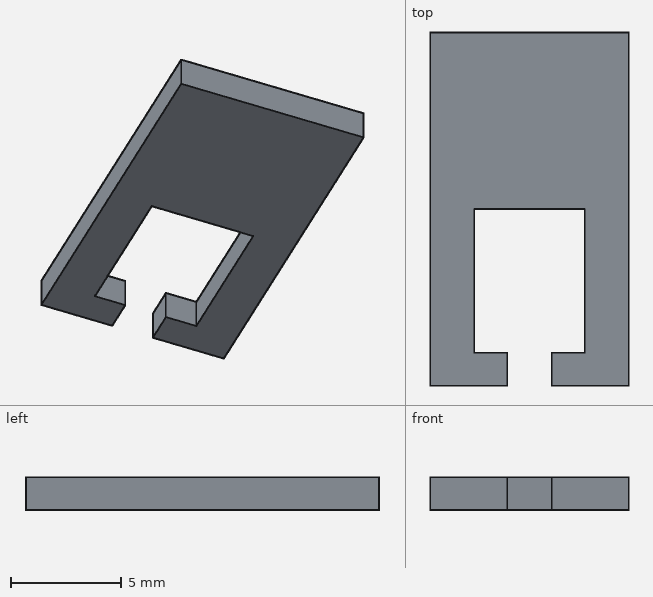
import cadquery as cq

plate_width = 9.0
plate_length = 16.0
plate_thickness = 1.5

window_width = 5.0
slot_width = 2.0
lip_depth = 1.5
window_end = 8.0


def centred_block(width, y_start, y_end):
    """Full-thickness block, centred on X, running from y_start to y_end."""
    length = y_end - y_start
    return (
        cq.Workplane("XY")
        .box(width, length, plate_thickness, centered=(True, False, False))
        .translate((0, y_start, 0))
    )


plate = centred_block(plate_width, 0, plate_length)
window = centred_block(window_width, lip_depth, window_end)
slot = centred_block(slot_width, 0, window_end)

result = plate.cut(window).cut(slot)